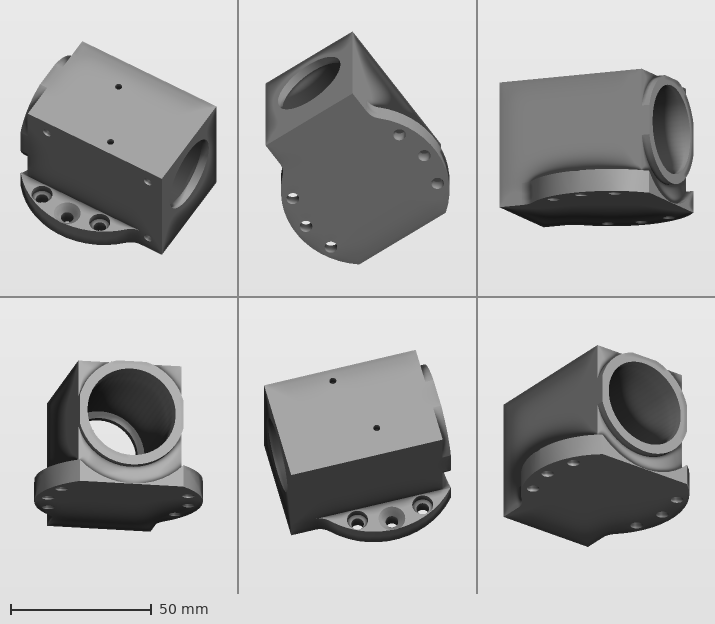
import cadquery as cq
import math

body_length = 58.8
body_width = 37.5
body_height = 45.4

bore_height = 26.65
bore_diameter = 32.0
lip_diameter = 27.0
lip_thickness = 3.0

ring_diameter = 39.0
relief_diameter = 53.1
relief_depth = 3.0

flange_diameter = 60.0
flange_thickness = 8.0
flange_center_x = 23.5
blend_radius = 6.5

screw_diameter = 4.5
counterbore_diameter = 7.5
counterbore_depth = 3.0
counterbore_offset_x = 12.0
counterbore_offset_y = 23.0
countersink_diameter = 9.5
countersink_angle = 90.0
countersink_offset_y = 25.5

side_hole_diameter = 3.3
side_hole_depth = 6.0
side_hole_front_x = 11.0
side_hole_rear_x = 52.9
side_hole_low_z = 5.9
side_hole_high_z = 39.4
side_holes = [
    (side_hole_front_x, side_hole_high_z),
    (side_hole_rear_x, side_hole_high_z),
    (side_hole_rear_x, side_hole_low_z),
]

top_hole_diameter = 2.5
top_hole_depth = 3.5
drill_point_angle = 118.0
top_holes = [(24.5, 8.2), (34.7, -14.2)]


def cylinder_x(diameter, x_start, length):
    """Cylinder on the bore axis."""
    plane = cq.Plane(origin=(x_start, 0, bore_height), xDir=(0, 1, 0), normal=(1, 0, 0))
    return cq.Workplane(plane).circle(diameter / 2).extrude(length)


def make_body():
    return cq.Workplane("XY").box(body_length, body_width, body_height, centered=(False, True, False))


def make_flange():
    """Disc cut off level with the front face, with a tangent concave blend on each side."""
    radius = flange_diameter / 2
    half_width = body_width / 2
    blend_y = half_width + blend_radius
    center_distance = radius + blend_radius
    blend_dx = math.sqrt(center_distance**2 - blend_y**2)
    blend_x = flange_center_x + blend_dx
    tangent_x = flange_center_x + blend_dx * radius / center_distance
    tangent_y = blend_y * radius / center_distance

    tangent_angle = math.atan2(tangent_y - blend_y, tangent_x - blend_x)
    middle_angle = (tangent_angle - math.pi / 2) / 2
    middle_x = blend_x + blend_radius * math.cos(middle_angle)
    middle_y = blend_y + blend_radius * math.sin(middle_angle)

    disc_front_y = math.sqrt(radius**2 - flange_center_x**2)
    return (
        cq.Workplane("XY")
        .moveTo(0, -disc_front_y)
        .threePointArc((flange_center_x, -radius), (tangent_x, -tangent_y))
        .threePointArc((middle_x, -middle_y), (blend_x, -half_width))
        .lineTo(blend_x, half_width)
        .threePointArc((middle_x, middle_y), (tangent_x, tangent_y))
        .threePointArc((flange_center_x, radius), (0, disc_front_y))
        .close()
        .extrude(flange_thickness)
    )


def make_relief():
    outer = cylinder_x(relief_diameter, 0, relief_depth)
    return outer.cut(cylinder_x(ring_diameter, 0, relief_depth))


def make_bore():
    wide_part = cylinder_x(bore_diameter, 0, body_length - lip_thickness)
    return wide_part.union(cylinder_x(lip_diameter, 0, body_length))


def make_counterbored_hole(x, y):
    hole = cq.Workplane("XY").center(x, y).circle(screw_diameter / 2).extrude(flange_thickness)
    counterbore = (
        cq.Workplane("XY", origin=(x, y, flange_thickness))
        .circle(counterbore_diameter / 2)
        .extrude(-counterbore_depth)
    )
    return hole.union(counterbore)


def make_countersunk_hole(x, y):
    hole_radius = screw_diameter / 2
    sink_radius = countersink_diameter / 2
    sink_depth = (sink_radius - hole_radius) / math.tan(math.radians(countersink_angle / 2))
    return (
        cq.Workplane("XZ")
        .polyline([
            (0, 0),
            (hole_radius, 0),
            (hole_radius, flange_thickness - sink_depth),
            (sink_radius, flange_thickness),
            (0, flange_thickness),
        ])
        .close()
        .revolve(360, (0, 0, 0), (0, 1, 0))
        .translate((x, y, 0))
    )


def make_side_hole(x, z):
    return (
        cq.Workplane("XZ", origin=(x, -body_width / 2, z))
        .circle(side_hole_diameter / 2)
        .extrude(-side_hole_depth)
    )


def make_top_hole(x, y):
    """Drilled hole with a conical end."""
    radius = top_hole_diameter / 2
    point_length = radius / math.tan(math.radians(drill_point_angle / 2))
    return (
        cq.Workplane("XZ")
        .polyline([
            (0, 0),
            (radius, 0),
            (radius, -top_hole_depth),
            (0, -top_hole_depth - point_length),
        ])
        .close()
        .revolve(360, (0, 0, 0), (0, 1, 0))
        .translate((x, y, body_height))
    )


result = make_body().union(make_flange())
result = result.cut(make_relief())
result = result.cut(make_bore())

for side in (-1, 1):
    for end in (-1, 1):
        hole_x = flange_center_x + end * counterbore_offset_x
        result = result.cut(make_counterbored_hole(hole_x, side * counterbore_offset_y))
    result = result.cut(make_countersunk_hole(flange_center_x, side * countersink_offset_y))

for hole_x, hole_z in side_holes:
    result = result.cut(make_side_hole(hole_x, hole_z))

for hole_x, hole_y in top_holes:
    result = result.cut(make_top_hole(hole_x, hole_y))